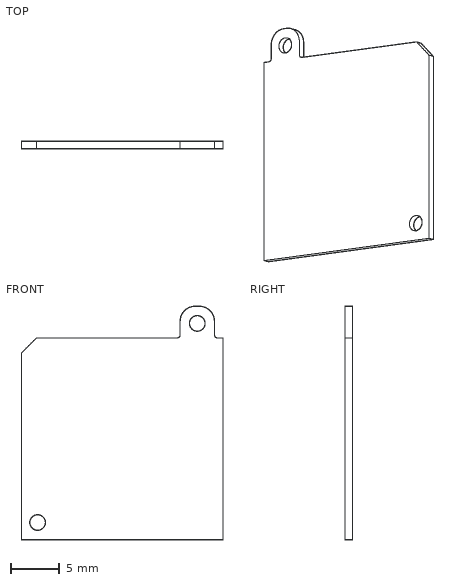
import cadquery as cq

plate_side = 21.0
thickness = 0.8
corner_chamfer = 1.6

tab_width = 3.6
tab_height = 3.3
tab_center_x = 18.3
tab_corner_radius = 1.6
tab_root_radius = 0.3

hole_diameter = 1.6
plate_hole_x = 1.7
plate_hole_z = 1.8
tab_hole_drop = tab_width / 2

total_height = plate_side + tab_height


def front_plane():
    """XZ sketch plane facing -Y; negative extrusions run toward +Y."""
    return cq.Workplane(cq.Plane(origin=(0, 0, 0), xDir=(1, 0, 0), normal=(0, -1, 0)))


def make_plate():
    """Square plate with its top-left corner cut off."""
    return (
        front_plane()
        .moveTo(0, 0)
        .lineTo(plate_side, 0)
        .lineTo(plate_side, plate_side)
        .lineTo(corner_chamfer, plate_side)
        .lineTo(0, plate_side - corner_chamfer)
        .close()
        .extrude(-thickness)
    )


def make_tab():
    """Round-cornered tab flaring into the plate's top edge."""
    left = tab_center_x - tab_width / 2
    right = tab_center_x + tab_width / 2
    root_top = plate_side + tab_root_radius
    shoulder = total_height - tab_corner_radius
    return (
        front_plane()
        .moveTo(left - tab_root_radius, plate_side)
        .radiusArc((left, root_top), -tab_root_radius)
        .lineTo(left, shoulder)
        .radiusArc((left + tab_corner_radius, total_height), tab_corner_radius)
        .lineTo(right - tab_corner_radius, total_height)
        .radiusArc((right, shoulder), tab_corner_radius)
        .lineTo(right, root_top)
        .radiusArc((right + tab_root_radius, plate_side), -tab_root_radius)
        .close()
        .extrude(-thickness)
    )


def make_holes():
    """Cutters for the tab hole and the bottom-left plate hole."""
    centers = [
        (plate_hole_x, plate_hole_z),
        (tab_center_x, total_height - tab_hole_drop),
    ]
    return front_plane().pushPoints(centers).circle(hole_diameter / 2).extrude(-thickness)


result = make_plate().union(make_tab()).cut(make_holes())